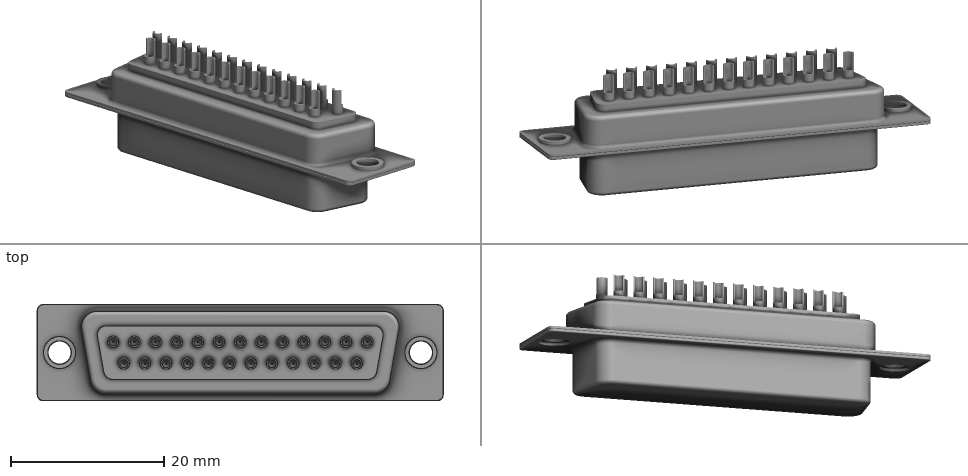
import cadquery as cq
import math


flange_length = 52.95
flange_width = 12.55
sheet_thickness = 0.35
flange_corner_radius = 0.8
flange_edge_radius = 0.13
flange_top = 2 * sheet_thickness

mount_spacing = 47.15
mount_hole_diameter = 3.0
collar_diameter = 4.2
lower_hole_diameter = collar_diameter
collar_height = 0.5

side_angle = 10.0
shell_corner_radius = 2.0
front_shell_length = 39.15
front_shell_width = 9.5
front_shell_depth = 6.0
rear_shell_length = 40.3
rear_shell_width = 10.75
rear_shell_top = 5.05
rear_edge_radius = 0.6
front_edge_radius = 0.5
base_fillet_radius = 0.45
base_margin = 0.05

insulator_length = 36.5
insulator_width = 7.0
insulator_corner_radius = 1.15
insulator_top = 6.05

row_spacing = 2.85
long_row_count = 13
long_row_span = 33.15
pin_pitch = long_row_span / (long_row_count - 1)
pin_diameter = 1.5
cup_diameter = 1.05
cup_step = 7.1
pin_top = 9.3
cup_floor = insulator_top
cup_tip_diameter = 0.2
cup_point_angle = 118.0


def d_body(length, width, corner_radius, bottom, top):
    """Upright prism with a rounded D outline, wider towards +Y."""
    half_width = width / 2
    taper = half_width * math.tan(math.radians(side_angle))
    wide = length / 2 + taper
    narrow = length / 2 - taper
    corners = [(-wide, half_width), (wide, half_width), (narrow, -half_width), (-narrow, -half_width)]
    return (
        cq.Workplane("XY", origin=(0, 0, bottom))
        .polyline(corners)
        .close()
        .extrude(top - bottom)
        .edges("|Z")
        .fillet(corner_radius)
    )


def sheet(bottom):
    """One flange sheet with rounded corners and a softened lower edge."""
    return (
        cq.Workplane("XY", origin=(0, 0, bottom))
        .rect(flange_length, flange_width)
        .extrude(sheet_thickness)
        .edges("|Z")
        .fillet(flange_corner_radius)
        .faces("<Z")
        .edges()
        .fillet(flange_edge_radius)
    )


def cylinder(diameter, bottom, top):
    return cq.Workplane("XY", origin=(0, 0, bottom)).circle(diameter / 2).extrude(top - bottom)


def solder_pin(open_side):
    """Pin on the Z axis, cut open towards +Y (1) or -Y (-1), and the drilled cup to cut from it."""
    cup_radius = cup_diameter / 2
    tip_radius = cup_tip_diameter / 2
    cup_tip = cup_floor - (cup_radius - tip_radius) / math.tan(math.radians(cup_point_angle / 2))
    cup = (
        cq.Workplane("XZ")
        .moveTo(0, cup_tip)
        .lineTo(tip_radius, cup_tip)
        .lineTo(cup_radius, cup_floor)
        .lineTo(cup_radius, pin_top)
        .lineTo(0, pin_top)
        .close()
        .revolve(360, (0, 0, 0), (0, 1, 0))
    )
    opening = (
        cq.Workplane("XY", origin=(0, open_side * pin_diameter / 2, cup_step))
        .rect(2 * pin_diameter, pin_diameter)
        .extrude(pin_top - cup_step)
    )
    return cylinder(pin_diameter, 0, pin_top).cut(opening), cup


def row_places(count, y):
    return [((i - (count - 1) / 2) * pin_pitch, y) for i in range(count)]


def base_edges(z):
    """Selector for the edges at height z where a shell meets the flange."""
    reach_x = rear_shell_length / 2 + rear_shell_width / 2
    reach_y = rear_shell_width / 2 + base_margin
    low = (-reach_x, -reach_y, z - base_margin)
    high = (reach_x, reach_y, z + base_margin)
    return cq.selectors.BoxSelector(low, high, boundingbox=True)


flange = sheet(0).union(sheet(sheet_thickness))

front_shell = d_body(front_shell_length, front_shell_width, shell_corner_radius, -front_shell_depth, 0)
front_shell = front_shell.faces("<Z").edges().fillet(front_edge_radius)

rear_shell = d_body(rear_shell_length, rear_shell_width, shell_corner_radius, flange_top, rear_shell_top)
rear_shell = rear_shell.faces(">Z").edges().fillet(rear_edge_radius)

body = flange.union(front_shell).union(rear_shell)
for z in (0, flange_top):
    body = body.edges(base_edges(z)).fillet(base_fillet_radius)

collar_top = flange_top + collar_height
for x in (-mount_spacing / 2, mount_spacing / 2):
    body = body.union(cylinder(collar_diameter, flange_top, collar_top).translate((x, 0, 0)))
    body = body.cut(cylinder(mount_hole_diameter, 0, collar_top).translate((x, 0, 0)))
    body = body.cut(cylinder(lower_hole_diameter, 0, sheet_thickness).translate((x, 0, 0)))

insulator = d_body(insulator_length, insulator_width, insulator_corner_radius, flange_top, insulator_top)
body = body.union(insulator)

for side, count in ((1, long_row_count), (-1, long_row_count - 1)):
    pin, cup = solder_pin(side)
    for x, y in row_places(count, side * row_spacing / 2):
        body = body.union(pin.translate((x, y, 0))).cut(cup.translate((x, y, 0)))

result = body